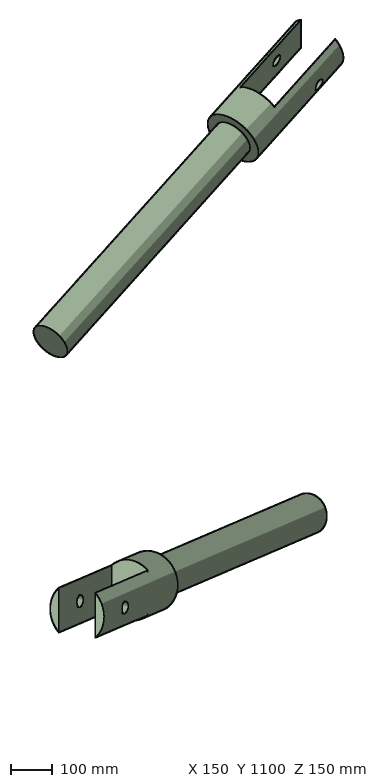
import cadquery as cq

total_length = 1100.0
head_diameter = 150.0
shaft_diameter = 100.0
head_length = 350.0
slot_depth = 250.0
slot_width = shaft_diameter
pin_diameter = 30.0
pin_end_distance = 100.0

shaft_end = -total_length / 2
fork_end = total_length / 2
shoulder = fork_end - head_length


def cylinder_along_y(diameter, start, end):
    """Solid cylinder on the Y axis between two Y positions."""
    axis = cq.Vector(0, 1, 0)
    base = cq.Vector(0, start, 0)
    return cq.Workplane(cq.Solid.makeCylinder(diameter / 2, end - start, base, axis))


def fork_slot():
    """Slot through the head in Z, open at the fork end, leaving two tines."""
    return cq.Workplane("XY").box(slot_width, slot_depth, head_diameter).translate(
        (0, fork_end - slot_depth / 2, 0)
    )


def pin_hole():
    """Cross hole along X through both tines."""
    return (
        cq.Workplane("YZ")
        .center(fork_end - pin_end_distance, 0)
        .circle(pin_diameter / 2)
        .extrude(head_diameter, both=True)
    )


shaft = cylinder_along_y(shaft_diameter, shaft_end, shoulder)
head = cylinder_along_y(head_diameter, shoulder, fork_end)
result = shaft.union(head).cut(fork_slot()).cut(pin_hole())